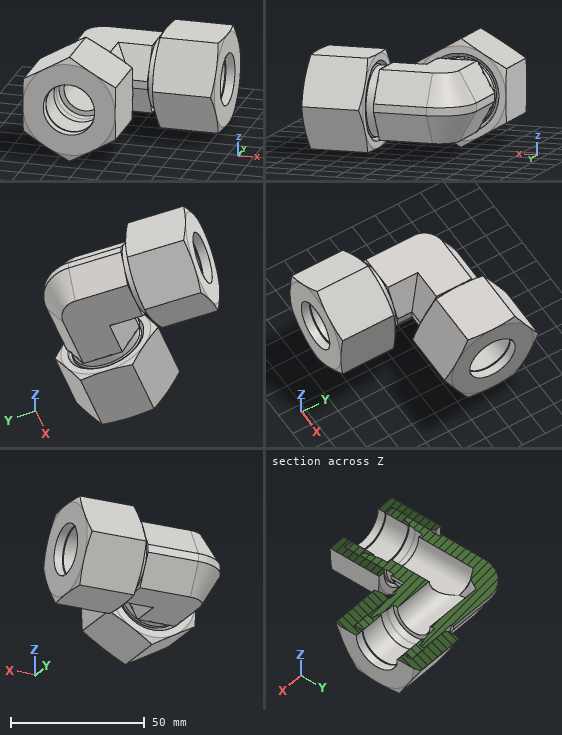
import cadquery as cq
import math


forging_end = 21.0
tube_stop = 26.5
ring_tip = 33.35
elbow_end = 37.0
nut_back = 24.0
nut_front = 48.0
nut_lip = 3.5
lip_inside = nut_front - nut_lip

forging_half_height = 13.5
forging_half_width = 14.65
hexagon_half_angle = 30

neck_radius = 13.5
neck_end = 24.3
thread_radius = 13.9
thread_lead_angle = 30
tube_radius = 10.0
bore_radius = 8.0
drill_half_angle = 60
sealing_mouth_radius = 11.5
cone_half_angle = 12
ring_clearance = 0.4

nut_flats = 36.0
nut_corner_angle = 15
nut_mouth_radius = 15.2
nut_relief_radius = 14.65
nut_mouth_angle = 60
nut_relief_angle = 45

arms = [(0, 0), (-90, 30)]


def tan_degrees(angle):
    return math.tan(math.radians(angle))


def turned(profile):
    """Solid of revolution about the X axis from (distance along X, radius) points."""
    return cq.Workplane("XY").polyline(profile).close().revolve(360, (0, 0), (1, 0))


def swung(body, angle):
    return body.rotate((0, 0, 0), (0, 0, 1), angle)


def sealing_cone_radius(distance):
    """Radius of the sealing cone, which widens from the tube socket to the mouth."""
    return sealing_mouth_radius - (elbow_end - distance) * tan_degrees(cone_half_angle)


def forging_half_outline():
    """Section of the forged arm on the +Y side, as (Y, Z) points."""
    top_half_width = forging_half_height * tan_degrees(hexagon_half_angle)
    hexagon_corner = 2 * top_half_width
    flat_half_height = (hexagon_corner - forging_half_width) / tan_degrees(hexagon_half_angle)
    return [
        (0, forging_half_height),
        (top_half_width, forging_half_height),
        (forging_half_width, flat_half_height),
        (forging_half_width, -flat_half_height),
        (top_half_width, -forging_half_height),
        (0, -forging_half_height),
    ]


def forged_arm():
    half = cq.Workplane("YZ").polyline(forging_half_outline()).close().extrude(forging_end)
    return half.union(half.mirror("XZ"))


def forged_bend():
    """Quarter turn of the half section about Z, filling the outer side of the corner."""
    half = cq.Workplane("YZ").polyline(forging_half_outline()).close()
    return half.revolve(90, (0, 0), (0, 1))


def threaded_end():
    """Round neck and thread that continue the forged arm to the elbow's mouth."""
    lead_length = (thread_radius - neck_radius) / tan_degrees(thread_lead_angle)
    return turned([
        (forging_end, 0),
        (forging_end, neck_radius),
        (neck_end, neck_radius),
        (neck_end + lead_length, thread_radius),
        (elbow_end, thread_radius),
        (elbow_end, 0),
    ])


def arm_bore():
    """Drilled bore with a conical tip, tube socket and sealing cone."""
    cone_bottom = elbow_end - (sealing_mouth_radius - tube_radius) / tan_degrees(cone_half_angle)
    tip_length = bore_radius / tan_degrees(drill_half_angle)
    return turned([
        (-tip_length, 0),
        (0, bore_radius),
        (tube_stop, bore_radius),
        (tube_stop, tube_radius),
        (cone_bottom, tube_radius),
        (elbow_end, sealing_mouth_radius),
        (elbow_end, 0),
    ])


def make_elbow():
    body = forged_bend()
    for arm_angle, _ in arms:
        body = body.union(swung(forged_arm(), arm_angle)).union(swung(threaded_end(), arm_angle))
    for arm_angle, _ in arms:
        body = body.cut(swung(arm_bore(), arm_angle))
    return body


def make_nut(hexagon_turn):
    corner_radius = nut_flats / 2 / math.cos(math.radians(hexagon_half_angle))
    hexagon = (
        cq.Workplane("YZ", origin=(nut_back, 0, 0))
        .polygon(6, 2 * corner_radius)
        .extrude(nut_front - nut_back)
        .rotate((0, 0, 0), (1, 0, 0), hexagon_turn)
    )
    chamfer_depth = (corner_radius - nut_flats / 2) * tan_degrees(nut_corner_angle)
    envelope = turned([
        (nut_back, 0),
        (nut_back, nut_flats / 2),
        (nut_back + chamfer_depth, corner_radius),
        (nut_front - chamfer_depth, corner_radius),
        (nut_front, nut_flats / 2),
        (nut_front, 0),
    ])
    relief_start = nut_back + (nut_mouth_radius - nut_relief_radius) / tan_degrees(nut_mouth_angle)
    thread_start = relief_start + (nut_relief_radius - thread_radius) / tan_degrees(nut_relief_angle)
    opening = turned([
        (nut_back, 0),
        (nut_back, nut_mouth_radius),
        (relief_start, nut_relief_radius),
        (thread_start, thread_radius),
        (lip_inside, thread_radius),
        (lip_inside, tube_radius),
        (nut_front, tube_radius),
        (nut_front, 0),
    ])
    return hexagon.intersect(envelope).cut(opening)


def make_cutting_ring():
    """Ring that fits a tube, between the nut lip and the elbow, with a nose seated in the sealing cone."""
    ring_back = lip_inside - ring_clearance
    return turned([
        (ring_tip, tube_radius),
        (ring_tip, sealing_cone_radius(ring_tip)),
        (elbow_end, sealing_mouth_radius),
        (elbow_end, thread_radius),
        (ring_back, thread_radius),
        (ring_back, tube_radius),
    ])


elbow = make_elbow()
nuts = [swung(make_nut(nut_turn), arm_angle) for arm_angle, nut_turn in arms]
cutting_rings = [swung(make_cutting_ring(), arm_angle) for arm_angle, _ in arms]

result = cq.Compound.makeCompound([
    elbow.val(),
    *[nut.val() for nut in nuts],
    *[ring.val() for ring in cutting_rings],
])